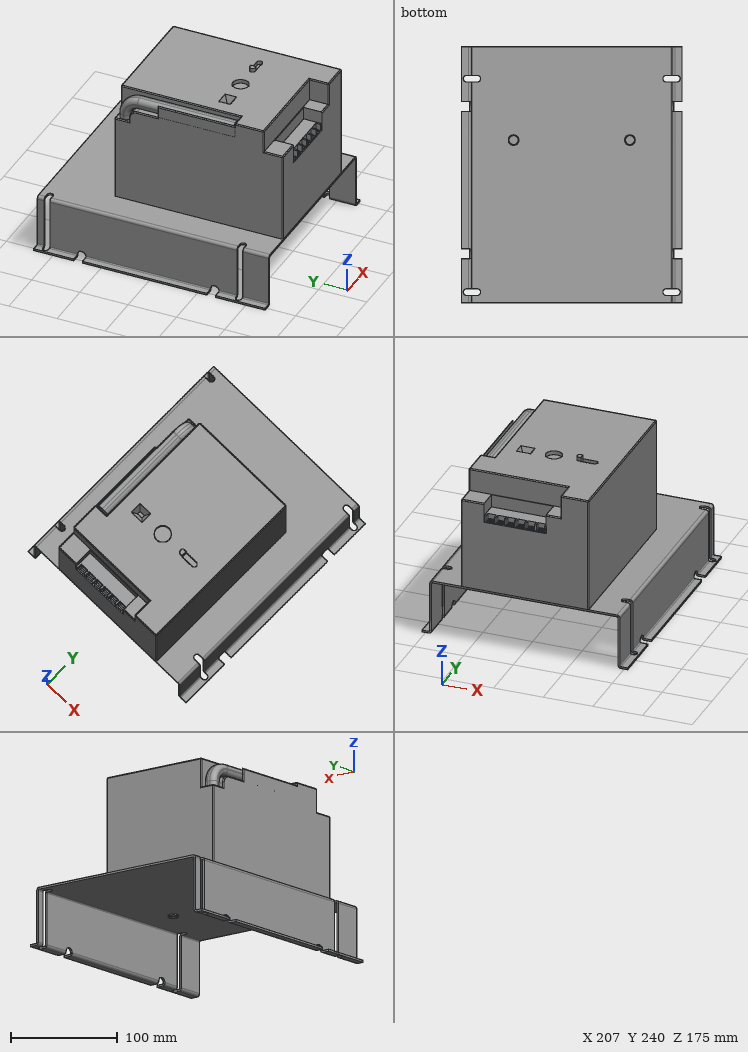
import cadquery as cq

BRACKET_LENGTH = 240.0
FOOT_SPAN = 207.0
LEG_SPAN = 191.5
BRACKET_HEIGHT = 56.0
SHEET = 2.0
BEND_OUTER = 3.0
BEND_INNER = BEND_OUTER - SHEET

SLOT_LENGTH = 16.0
SLOT_WIDTH = 6.0
SLOT_X = 93.5
SLOT_YS = (-90.0, 110.0)

NOTCH_RADIUS = 4.5
NOTCH_CENTER_Z = 2.5
NOTCH_YS = (-64.0, 74.0)

BOSS_RADIUS = 5.0
BOSS_HEIGHT = 2.0
BOSS_CHAMFER = 0.8
BOSS_X = 54.5

BOX_WIDTH = 128.5
BOX_DEPTH = 175.0
BOX_HEIGHT = 115.0
BOX_CHAMFER = 1.0
BOX_LEFT = -BOX_WIDTH / 2
BOX_FRONT = -BRACKET_LENGTH / 2
BOX_BACK = BOX_FRONT + BOX_DEPTH
BOX_CENTER_Y = (BOX_FRONT + BOX_BACK) / 2
BOX_TOP = BRACKET_HEIGHT + BOX_HEIGHT

STEP_WIDTH = 100.0
STEP_DEPTH = 20.0
STEP_DROP = 23.0
STEP_FLOOR = BOX_TOP - STEP_DROP
STEP_BACK = BOX_FRONT + STEP_DEPTH

TERMINAL_CENTER_X = -10.0
TERMINAL_WIDTH = 62.5
TERMINAL_BACK = STEP_BACK - 0.8
TERMINAL_SHELF = 135.2
TERMINAL_BOTTOM = 128.4
POCKET_COUNT = 6
POCKET_PITCH = 10.1
POCKET_WIDTH = 8.3
POCKET_DEPTH = 5.8
POCKET_BACK = BOX_FRONT + POCKET_DEPTH
TOOTH_SETBACK = 1.0
CLAMP_WIDTH = 5.7
CLAMP_STEPS = 3
CLAMP_STEP_DEPTH = 1.5
CLAMP_STEP_HEIGHT = 0.6

TUBE_WIDTH = 13.0
TUBE_THICKNESS = 11.0
TUBE_CORNER = 5.0
TUBE_X = -56.3
TUBE_Z = 162.5
TUBE_BEND_RADIUS = 14.6
TUBE_BEND_Y = 31.8
TUBE_BEND_Z = TUBE_Z - TUBE_BEND_RADIUS
TUBE_FRONT = -67.6

GROOVE_WALL_X = -50.0
GROOVE_FRONT = -69.6
GROOVE_CLEARANCE = 1.3
GROOVE_FLOOR = TUBE_Z - TUBE_THICKNESS / 2 - GROOVE_CLEARANCE
GROOVE_BEND_RADIUS = TUBE_BEND_RADIUS - TUBE_THICKNESS / 2 - GROOVE_CLEARANCE
GROOVE_END_Y = TUBE_BEND_Y + GROOVE_BEND_RADIUS
GROOVE_END_FLOOR = 143.0
LIP_TOP = TUBE_Z + TUBE_THICKNESS / 2
LIP_THICKNESS = 1.2
LIP_BACK = 10.0

CONTROL_Y = -45.5
BUTTON_RADIUS = 8.0
BUTTON_DEPTH = 4.0
FUNNEL_X = -28.5
FUNNEL_LENGTH = 14.0
FUNNEL_WIDTH = 11.6
FUNNEL_INSET = 4.2
FUNNEL_DEPTH = 8.0
SWITCH_X = 33.7
SWITCH_LENGTH = 20.8
SWITCH_WIDTH = 5.6
SWITCH_DEPTH = 4.0
LEVER_LENGTH = 4.8
LEVER_HEIGHT = 4.0


def block(x_range, y_range, z_range):
    """Box given by its lower and upper limits along each axis."""
    spans = [high - low for low, high in (x_range, y_range, z_range)]
    corner = (x_range[0], y_range[0], z_range[0])
    return cq.Workplane("XY").box(*spans, centered=False).translate(corner)


def folded_sheet():
    foot = FOOT_SPAN / 2
    leg = LEG_SPAN / 2
    top = BRACKET_HEIGHT
    outline = [
        (-foot, 0),
        (-leg + SHEET, 0),
        (-leg + SHEET, top - SHEET),
        (leg - SHEET, top - SHEET),
        (leg - SHEET, 0),
        (foot, 0),
        (foot, SHEET),
        (leg, SHEET),
        (leg, top),
        (-leg, top),
        (-leg, SHEET),
        (-foot, SHEET),
    ]
    sheet = cq.Workplane("XZ").polyline(outline).close().extrude(BRACKET_LENGTH / 2, both=True)

    outer_bends = cq.selectors.BoxSelector((-leg - 1, -1, top - 1), (leg + 1, 1, top + 1))
    outer_bends += cq.selectors.BoxSelector((-leg + SHEET - 1, -1, -1), (leg - SHEET + 1, 1, 1))
    inner_bends = cq.selectors.BoxSelector((-leg, -1, top - SHEET - 1), (leg, 1, top - SHEET + 1))
    inner_bends += cq.selectors.BoxSelector((-leg - 1, -1, SHEET - 1), (leg + 1, 1, SHEET + 1))
    sheet = sheet.edges("|Y").edges(outer_bends).fillet(BEND_OUTER)
    return sheet.edges("|Y").edges(inner_bends).fillet(BEND_INNER)


def make_bracket():
    bracket = folded_sheet()

    slot_centers = [(side * SLOT_X, y) for side in (-1, 1) for y in SLOT_YS]
    slots = cq.Workplane("XY").pushPoints(slot_centers).slot2D(SLOT_LENGTH, SLOT_WIDTH)
    bracket = bracket.cut(slots.extrude(BRACKET_HEIGHT))

    for y in NOTCH_YS:
        arch = cq.Workplane("YZ").center(y, NOTCH_CENTER_Z).circle(NOTCH_RADIUS)
        bracket = bracket.cut(arch.extrude(FOOT_SPAN / 2, both=True))
        opening = cq.Workplane("YZ").center(y, 0).rect(2 * NOTCH_RADIUS, 2 * NOTCH_CENTER_Z)
        bracket = bracket.cut(opening.extrude(FOOT_SPAN / 2, both=True))

    boss_centers = [(side * BOSS_X, BOX_CENTER_Y) for side in (-1, 1)]
    underside = cq.Workplane("XY", origin=(0, 0, BRACKET_HEIGHT - SHEET))
    bosses = underside.pushPoints(boss_centers).circle(BOSS_RADIUS).extrude(-BOSS_HEIGHT)
    return bracket.union(bosses.faces("<Z").chamfer(BOSS_CHAMFER))


def tube_groove_opening():
    """Volume open to the left side, above the lip, the notch and the bend."""
    above = BOX_TOP + 1
    diagonal = GROOVE_BEND_RADIUS / 2**0.5
    profile = (
        cq.Workplane("YZ", origin=(BOX_LEFT, 0, 0))
        .moveTo(GROOVE_FRONT, above)
        .lineTo(GROOVE_FRONT, LIP_TOP)
        .lineTo(LIP_BACK, LIP_TOP)
        .lineTo(LIP_BACK, GROOVE_FLOOR)
        .lineTo(TUBE_BEND_Y, GROOVE_FLOOR)
        .threePointArc(
            (TUBE_BEND_Y + diagonal, TUBE_BEND_Z + diagonal),
            (GROOVE_END_Y, TUBE_BEND_Z),
        )
        .lineTo(GROOVE_END_Y, GROOVE_END_FLOOR)
        .lineTo(BOX_BACK, GROOVE_END_FLOOR)
        .lineTo(BOX_BACK, above)
        .close()
    )
    return profile.extrude(GROOVE_WALL_X - BOX_LEFT)


def chamfered_box():
    box = block((BOX_LEFT, -BOX_LEFT), (BOX_FRONT, BOX_BACK), (BRACKET_HEIGHT, BOX_TOP))
    box = box.cut(
        block((BOX_LEFT, BOX_LEFT + STEP_WIDTH), (BOX_FRONT, STEP_BACK), (STEP_FLOOR, BOX_TOP))
    )
    box = box.cut(tube_groove_opening())
    outer_edges = box.faces("<X or >X or <Y or >Y or >Z").edges("not <Z")
    return outer_edges.chamfer(BOX_CHAMFER)


def stepped_clamp(x):
    """Small stair on the pocket floor, rising toward the back of the pocket."""
    profile = cq.Workplane("YZ", origin=(x, 0, 0)).moveTo(POCKET_BACK, TERMINAL_BOTTOM)
    profile = profile.hLine(-CLAMP_STEPS * CLAMP_STEP_DEPTH)
    for _ in range(CLAMP_STEPS):
        profile = profile.vLine(CLAMP_STEP_HEIGHT).hLine(CLAMP_STEP_DEPTH)
    return profile.close().extrude(CLAMP_WIDTH / 2, both=True)


def terminal_recess():
    left = TERMINAL_CENTER_X - TERMINAL_WIDTH / 2
    right = TERMINAL_CENTER_X + TERMINAL_WIDTH / 2
    recess = block((left, right), (BOX_FRONT, TERMINAL_BACK), (TERMINAL_SHELF, STEP_FLOOR))
    recess = recess.union(
        block(
            (left, right),
            (BOX_FRONT, BOX_FRONT + TOOTH_SETBACK),
            (TERMINAL_BOTTOM, TERMINAL_SHELF),
        )
    )
    for index in range(POCKET_COUNT):
        x = TERMINAL_CENTER_X + (index - (POCKET_COUNT - 1) / 2) * POCKET_PITCH
        pocket = block(
            (x - POCKET_WIDTH / 2, x + POCKET_WIDTH / 2),
            (BOX_FRONT, POCKET_BACK),
            (TERMINAL_BOTTOM, TERMINAL_SHELF),
        )
        recess = recess.union(pocket.cut(stepped_clamp(x)))
    return recess


def bent_tube():
    path = (
        cq.Workplane("YZ", origin=(TUBE_X, 0, 0))
        .moveTo(TUBE_FRONT, TUBE_Z)
        .lineTo(TUBE_BEND_Y, TUBE_Z)
        .radiusArc((TUBE_BEND_Y + TUBE_BEND_RADIUS, TUBE_BEND_Z), TUBE_BEND_RADIUS)
        .lineTo(TUBE_BEND_Y + TUBE_BEND_RADIUS, GROOVE_END_FLOOR)
    )
    section = cq.Sketch().rect(TUBE_WIDTH, TUBE_THICKNESS).vertices().fillet(TUBE_CORNER)
    start = cq.Workplane("XZ", origin=(TUBE_X, TUBE_FRONT, TUBE_Z))
    return start.placeSketch(section).sweep(path)


def control_cutouts():
    top = cq.Workplane("XY", origin=(0, CONTROL_Y, BOX_TOP))
    button = top.circle(BUTTON_RADIUS).extrude(-BUTTON_DEPTH)
    funnel = (
        top.center(FUNNEL_X, 0)
        .rect(FUNNEL_LENGTH, FUNNEL_WIDTH)
        .workplane(offset=-FUNNEL_DEPTH)
        .rect(FUNNEL_LENGTH - 2 * FUNNEL_INSET, FUNNEL_WIDTH - 2 * FUNNEL_INSET)
        .loft()
    )
    switch = top.center(SWITCH_X, 0).slot2D(SWITCH_LENGTH, SWITCH_WIDTH).extrude(-SWITCH_DEPTH)
    return button.union(funnel).union(switch)


def switch_lever():
    """Left end of the switch slot, raised above the box top."""
    base = cq.Workplane("XY", origin=(SWITCH_X, CONTROL_Y, BOX_TOP - SWITCH_DEPTH))
    lever = base.slot2D(SWITCH_LENGTH, SWITCH_WIDTH).extrude(SWITCH_DEPTH + LEVER_HEIGHT)
    left = SWITCH_X - SWITCH_LENGTH / 2
    keep = block(
        (left, left + LEVER_LENGTH),
        (CONTROL_Y - SWITCH_WIDTH / 2, CONTROL_Y + SWITCH_WIDTH / 2),
        (BOX_TOP - SWITCH_DEPTH, BOX_TOP + LEVER_HEIGHT),
    )
    return lever.intersect(keep)


def make_device():
    device = chamfered_box()
    device = device.cut(
        block(
            (BOX_LEFT + LIP_THICKNESS, GROOVE_WALL_X),
            (GROOVE_FRONT, LIP_BACK),
            (GROOVE_FLOOR, LIP_TOP),
        )
    )
    device = device.cut(terminal_recess())
    device = device.cut(control_cutouts())
    return device.union(bent_tube()).union(switch_lever())


bracket = make_bracket()
device = make_device()

result = cq.Compound.makeCompound([bracket.val(), device.val()])